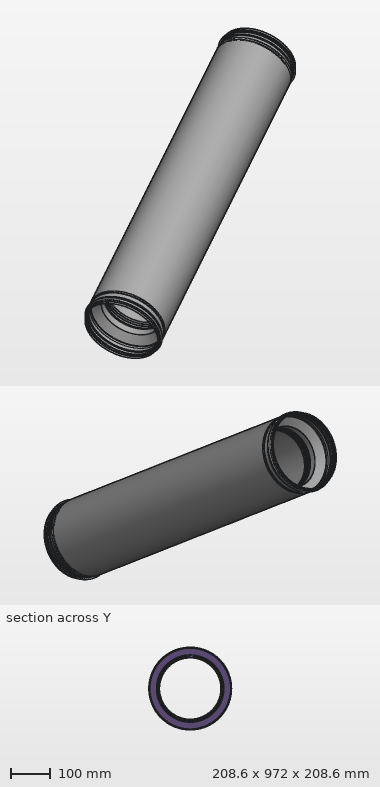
import cadquery as cq
import math


LENGTH = 972.0
HALF = LENGTH / 2

COLLAR_D = 198.0
SPIGOT_D = 158.0
REDUCER_WALL = 1.5
CONNECTION_LENGTH = 44.0
CONE_LENGTH = (COLLAR_D - SPIGOT_D) / 2
CONE_START = CONNECTION_LENGTH - HALF
CONE_END = CONE_START + CONE_LENGTH
REDUCER_LENGTH = 2 * CONNECTION_LENGTH + CONE_LENGTH
BEND_SHIFT = REDUCER_WALL * math.tan(math.radians(45 / 2))

CHANNEL_START = 7.0
CHANNEL_END = 14.0
CHANNEL_DEPTH = 0.5
CHANNEL = (CHANNEL_START, CHANNEL_END, CHANNEL_DEPTH)
BEAD = (21.0, 24.0, 1.0)

BAND_HEIGHT = 0.5
FRONT_LIP_HEIGHT = 3.0
FRONT_LIP_TIP = 9.0
VALLEY_HEIGHT = 2.4
VALLEY = 10.0
BACK_LIP_HEIGHT = 5.3
BACK_LIP_TIP = 15.0
BACK_LIP_ROOT = 13.0

CASING_D = 204.0
CASING_WALL = 1.0
CASING_BORE = CASING_D - 2 * CASING_WALL
CASING_SETBACK = 36.0
RIM_THICKNESS = 6.0
RIM_FRONT = CASING_SETBACK - HALF
RIM_BACK = RIM_FRONT + RIM_THICKNESS

INNER_TUBE_BORE = SPIGOT_D + 2 * BACK_LIP_HEIGHT
INNER_TUBE_WALL = 1.0
INNER_TUBE_D = INNER_TUBE_BORE + 2 * INNER_TUBE_WALL


def revolve_profile(points):
    """Revolve a closed (radius, y) profile about the Y axis."""
    return cq.Workplane("XY").polyline(points).close().revolve(360, (0, 0, 0), (0, 1, 0))


def with_mirror_image(half_profile):
    """Complete a (radius, y) profile of the -Y half with its mirror image at +Y."""
    return half_profile + [(r, -y) for r, y in reversed(half_profile)]


def rolled_line(radius, length):
    """(radius, distance from free end) points along one face of a connection."""
    points = [(radius, 0)]
    for start, end, depth in (CHANNEL, BEAD):
        points += [(radius, start), (radius - depth, start), (radius - depth, end), (radius, end)]
    return points + [(radius, length)]


def reducer_line(inset, bend_shift):
    """One face of the reducer sheet, from the collar mouth to the spigot mouth."""
    collar = rolled_line(COLLAR_D / 2 - inset, CONNECTION_LENGTH - bend_shift)
    spigot = rolled_line(SPIGOT_D / 2 - inset, CONNECTION_LENGTH + bend_shift)
    return collar + [(r, REDUCER_LENGTH - y) for r, y in reversed(spigot)]


def make_reducer():
    outside = reducer_line(0, 0)
    inside = reducer_line(REDUCER_WALL, BEND_SHIFT)
    return revolve_profile(outside + inside[::-1]).translate((0, -HALF, 0))


def make_seal(diameter):
    """Lip seal of a connection whose free end lies at y = 0."""
    surface = diameter / 2
    seat = surface - CHANNEL_DEPTH
    band = surface + BAND_HEIGHT
    return revolve_profile([
        (seat, CHANNEL_START),
        (band, CHANNEL_START),
        (surface + FRONT_LIP_HEIGHT, FRONT_LIP_TIP),
        (surface + VALLEY_HEIGHT, VALLEY),
        (surface + BACK_LIP_HEIGHT, BACK_LIP_TIP),
        (band, BACK_LIP_ROOT),
        (band, CHANNEL_END),
        (seat, CHANNEL_END),
    ])


def make_collar_seal():
    return make_seal(COLLAR_D).translate((0, -HALF, 0))


def make_spigot_seal():
    return make_seal(SPIGOT_D).mirror("XZ").translate((0, REDUCER_LENGTH - HALF, 0))


def make_casing():
    return revolve_profile(with_mirror_image([
        (CASING_D / 2, RIM_FRONT),
        (COLLAR_D / 2, RIM_FRONT),
        (COLLAR_D / 2, RIM_BACK),
        (CASING_BORE / 2, RIM_BACK),
    ]))


def make_inner_tube():
    return revolve_profile(with_mirror_image([
        (INNER_TUBE_D / 2, CONE_END),
        (INNER_TUBE_BORE / 2, CONE_END),
    ]))


def make_insulation():
    """Fill between casing and inner tube, shaped around the two cones."""
    return revolve_profile(with_mirror_image([
        (CASING_BORE / 2, RIM_BACK),
        (COLLAR_D / 2, RIM_BACK),
        (COLLAR_D / 2, CONE_START),
        (SPIGOT_D / 2, CONE_END),
        (INNER_TUBE_D / 2, CONE_END),
    ]))


bodies = [make_casing().val(), make_inner_tube().val(), make_insulation().val()]
for make_end_body in (make_reducer, make_collar_seal, make_spigot_seal):
    end_body = make_end_body()
    bodies.append(end_body.val())
    bodies.append(end_body.mirror("XZ").val())

result = cq.Compound.makeCompound(bodies)